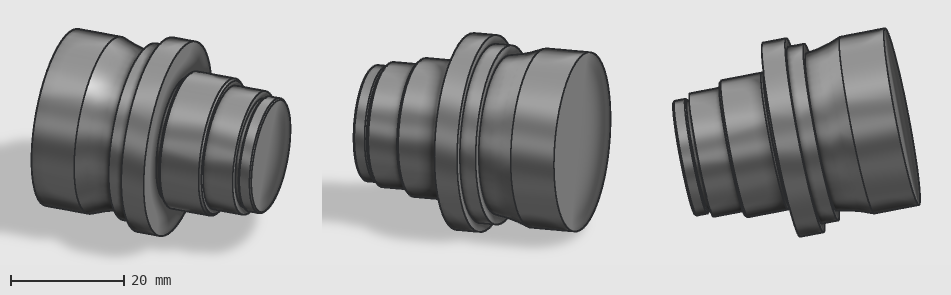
import cadquery as cq


rear_end = 8.03
neck_end = 14.55
collar_end = 17.47
flange_end = 21.65
relief_end = 22.5
body_end = 30.47
spigot_end = 36.05
groove_end = 36.75
total_length = 39.17

rear_diameter = 31.75
neck_diameter = 28.3
flange_diameter = 34.9
body_diameter = 24.65
spigot_diameter = 22.2
groove_diameter = 19.62
tip_diameter = 20.65

body_chamfer = 0.4
tip_chamfer = 0.27
neck_mid_x = 10.95
neck_mid_diameter = 29.7


def make_cylinder(start, end, diameter):
    """Solid cylinder on the X axis between two axial positions."""
    return cq.Workplane("YZ", origin=(start, 0, 0)).circle(diameter / 2).extrude(end - start)


def make_neck():
    """Concave neck that narrows from the rear drum towards the collar."""
    return (
        cq.Workplane("XY")
        .moveTo(rear_end, 0)
        .lineTo(rear_end, rear_diameter / 2)
        .threePointArc((neck_mid_x, neck_mid_diameter / 2), (neck_end, neck_diameter / 2))
        .lineTo(neck_end, 0)
        .close()
        .revolve(360, (0, 0, 0), (1, 0, 0))
    )


rear_drum = make_cylinder(0, rear_end, rear_diameter)
collar = make_cylinder(neck_end, collar_end, rear_diameter)
flange = make_cylinder(collar_end, flange_end, flange_diameter)
relief = make_cylinder(flange_end, relief_end, spigot_diameter)
body = make_cylinder(relief_end, body_end, body_diameter).edges().chamfer(body_chamfer)
spigot = make_cylinder(body_end, spigot_end, spigot_diameter)
groove = make_cylinder(spigot_end, groove_end, groove_diameter)
tip = make_cylinder(groove_end, total_length, tip_diameter).edges().chamfer(tip_chamfer)

result = rear_drum
for section in (make_neck(), collar, flange, relief, body, spigot, groove, tip):
    result = result.union(section)